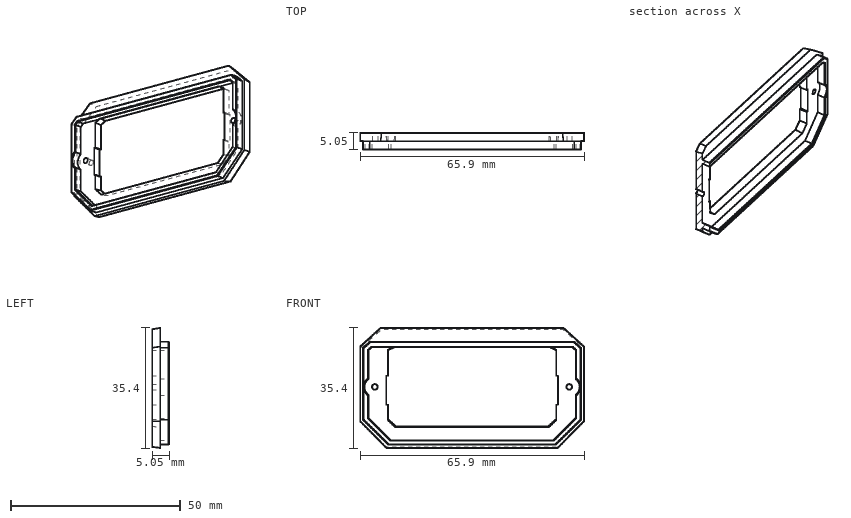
import cadquery as cq

flange_depth = 2.45
rim_depth = 2.6
half_width = 32.95
rim_chamfer = 0.2

screw_offset = 28.6
screw_diameter = 1.6
screw_relief_radius = 3.0

notch_half_width = 25.25
notch_top = 3.2
notch_bottom = -5.2


def clipped_outline(side, top, bottom, top_half, upper_corner, bottom_half, lower_corner):
    """Eight-sided outline, symmetric about X = 0.

    The vertical sides run between the corner heights; the half widths end the level edges.
    """
    right_half = [(bottom_half, bottom), (side, lower_corner), (side, upper_corner), (top_half, top)]
    left_half = [(-x, z) for x, z in reversed(right_half)]
    return right_half + left_half


def ruled_block(front_outline, back_outline, front_y, depth):
    """Solid with straight walls from the front outline back to the rear one."""
    return (
        cq.Workplane("XZ", origin=(0, front_y, 0))
        .polyline(front_outline)
        .close()
        .workplane(offset=-depth)
        .polyline(back_outline)
        .close()
        .loft(ruled=True, combine=True)
    )


def prism(outline, front_y, depth):
    return cq.Workplane("XZ", origin=(0, front_y, 0)).polyline(outline).close().extrude(-depth)


def screw_cylinders(diameter, front_y, depth):
    return (
        cq.Workplane("XZ", origin=(0, front_y, 0))
        .pushPoints([(-screw_offset, 0), (screw_offset, 0)])
        .circle(diameter / 2)
        .extrude(-depth)
    )


flange = ruled_block(
    clipped_outline(
        side=half_width, top=17.4, bottom=-18.0,
        top_half=26.9, upper_corner=11.85, bottom_half=25.1, lower_corner=-10.1,
    ),
    clipped_outline(
        side=half_width, top=17.0, bottom=-17.65,
        top_half=26.6, upper_corner=11.5, bottom_half=25.5, lower_corner=-10.1,
    ),
    0,
    flange_depth,
)

rim_outline = clipped_outline(
    side=32.1, top=13.3, bottom=-17.0,
    top_half=30.05, upper_corner=11.45, bottom_half=24.65, lower_corner=-9.7,
)
recess_outline = clipped_outline(
    side=30.45, top=11.65, bottom=-15.6,
    top_half=29.5, upper_corner=10.8, bottom_half=24.0, lower_corner=-9.15,
)
rim = (
    prism(rim_outline, -rim_depth, rim_depth)
    .cut(prism(recess_outline, -rim_depth, rim_depth))
    .cut(screw_cylinders(2 * screw_relief_radius, -rim_depth, rim_depth))
    .faces("<Y")
    .chamfer(rim_chamfer)
)

window = ruled_block(
    clipped_outline(
        side=24.85, top=11.85, bottom=-11.85,
        top_half=23.0, upper_corner=10.9, bottom_half=22.6, lower_corner=-9.7,
    ),
    clipped_outline(
        side=24.7, top=11.65, bottom=-11.5,
        top_half=22.85, upper_corner=10.8, bottom_half=22.5, lower_corner=-9.5,
    ),
    0,
    flange_depth,
)
notches = cq.Workplane("XY").box(
    2 * notch_half_width, flange_depth, notch_top - notch_bottom, centered=(True, False, False)
).translate((0, 0, notch_bottom))
screw_holes = screw_cylinders(screw_diameter, 0, flange_depth)

result = flange.union(rim)
for opening in (window, notches, screw_holes):
    result = result.cut(opening)